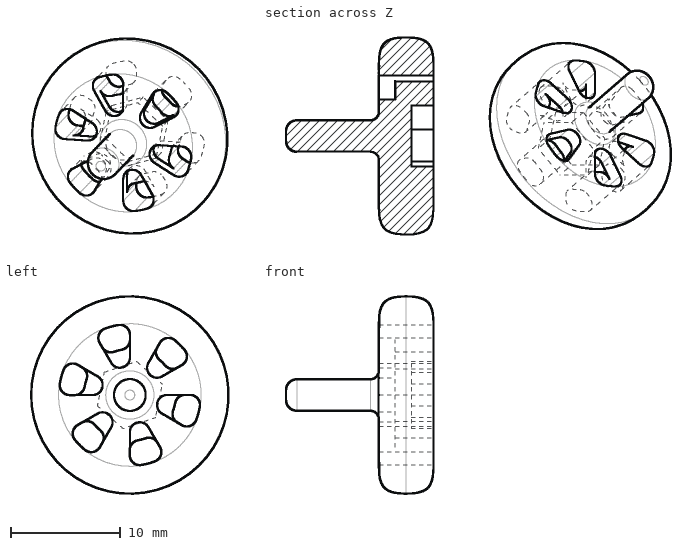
import cadquery as cq
import math


wheel_radius = 9.0
wheel_width = 5.0
side_face_radius = 6.5
tread_fullness = 0.77

shaft_diameter = 2.9
overall_length = 13.45
tip_round = 1.0
root_fillet = 0.75

window_count = 6
window_angle = 30.0
window_outer_radius = 6.45
window_corner_round = 0.9
recess_depth = 1.5
recess_round_center = 3.5
opening_inner_radius = 4.2

hex_across_flats = 5.4
hex_depth = 2.0
hex_corner_angle = 41.5

front_x = -wheel_width / 2
back_x = wheel_width / 2
tip_x = back_x - overall_length
shaft_radius = shaft_diameter / 2


def make_body():
    """Wheel and shaft, revolved from their half section (X, radius)."""
    tread_side_handle = side_face_radius + tread_fullness * (wheel_radius - side_face_radius)
    tread_top_handle = tread_fullness * back_x
    diagonal = math.sqrt(0.5)
    tip_arc_middle = (
        tip_x + tip_round * (1 - diagonal),
        shaft_radius - tip_round * (1 - diagonal),
    )
    root_arc_middle = (
        front_x - root_fillet * (1 - diagonal),
        shaft_radius + root_fillet * (1 - diagonal),
    )
    section = (
        cq.Workplane("XY")
        .moveTo(tip_x, 0)
        .lineTo(tip_x, shaft_radius - tip_round)
        .threePointArc(tip_arc_middle, (tip_x + tip_round, shaft_radius))
        .lineTo(front_x - root_fillet, shaft_radius)
        .threePointArc(root_arc_middle, (front_x, shaft_radius + root_fillet))
        .lineTo(front_x, side_face_radius)
        .bezier([
            (front_x, side_face_radius),
            (front_x, tread_side_handle),
            (-tread_top_handle, wheel_radius),
            (0, wheel_radius),
        ])
        .bezier([
            (0, wheel_radius),
            (tread_top_handle, wheel_radius),
            (back_x, tread_side_handle),
            (back_x, side_face_radius),
        ])
        .lineTo(back_x, 0)
        .close()
    )
    return section.revolve(360, (0, 0, 0), (1, 0, 0))


def polar(radius, angle):
    """Point (Y, Z) at a radius and an angle in degrees from +Y toward +Z."""
    return (radius * math.cos(math.radians(angle)), radius * math.sin(math.radians(angle)))


def window_prism(depth, side_start_radius, inner_end_radius):
    """Cutter from the -X side, between 0 degrees and the window angle, with rounded outer corners.

    Its sides are radial lines. The inner end is an arc through the starts of both sides
    that crosses the window's center line at inner_end_radius.
    """
    half_angle = window_angle / 2
    prism = (
        cq.Workplane("YZ", origin=(front_x, 0, 0))
        .moveTo(*polar(side_start_radius, 0))
        .lineTo(*polar(window_outer_radius, 0))
        .threePointArc(polar(window_outer_radius, half_angle), polar(window_outer_radius, window_angle))
        .lineTo(*polar(side_start_radius, window_angle))
        .threePointArc(polar(inner_end_radius, half_angle), polar(side_start_radius, 0))
        .close()
        .extrude(depth)
    )
    return round_corners(prism, window_outer_radius)


def round_corners(prism, corner_radius):
    """Round the two edges along X that lie at corner_radius from the axis."""
    tolerance = 0.01
    corners = prism.edges("|X").filter(
        lambda edge: abs(math.hypot(edge.Center().y, edge.Center().z) - corner_radius) < tolerance
    )
    return corners.fillet(window_corner_round)


def make_recess():
    """Shallow cutter whose inner end is one arc tangent to both sides."""
    half_angle = math.radians(window_angle / 2)
    side_start_radius = recess_round_center * math.cos(half_angle)
    inner_end_radius = recess_round_center * (1 - math.sin(half_angle))
    return window_prism(recess_depth, side_start_radius, inner_end_radius)


def make_opening():
    """Through cutter whose inner end is concentric with the wheel."""
    opening = window_prism(wheel_width, opening_inner_radius, opening_inner_radius)
    return round_corners(opening, opening_inner_radius)


def cut_windows(body):
    """Shallow recesses in the -X side, each with a shorter opening through the wheel."""
    window = make_recess().union(make_opening())
    for index in range(window_count):
        angle = index * 360 / window_count
        body = body.cut(window.rotate((0, 0, 0), (1, 0, 0), angle))
    return body


def cut_hex_socket(body):
    """Blind hexagon socket in the +X side."""
    hex_sides = 6
    corner_diameter = hex_across_flats / math.cos(math.pi / hex_sides)
    socket = (
        cq.Workplane("YZ", origin=(back_x - hex_depth, 0, 0))
        .polygon(hex_sides, corner_diameter)
        .extrude(hex_depth)
        .rotate((0, 0, 0), (1, 0, 0), hex_corner_angle)
    )
    return body.cut(socket)


result = cut_hex_socket(cut_windows(make_body()))